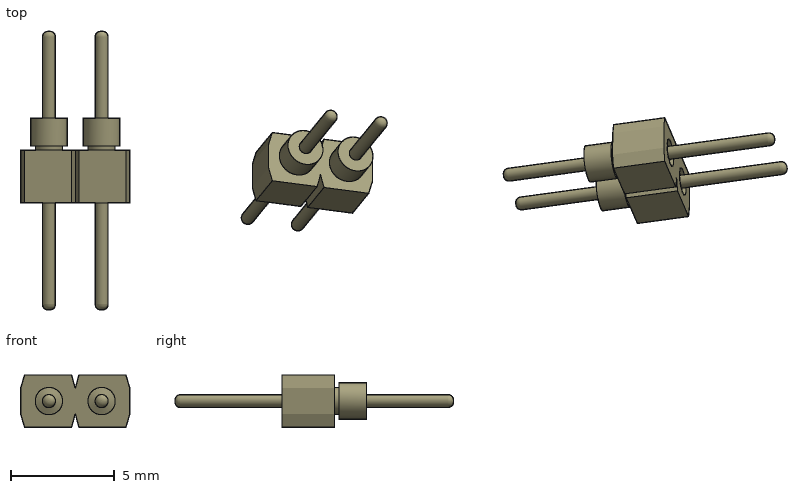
import cadquery as cq
import math

pin_count = 2
pitch = 2.55
cell_size = 2.55
housing_width = 5.28
bevel_inset = 0.19
bevel_height = 0.65
notch_half_width = 0.17
housing_front = -1.56
housing_back = housing_front + cell_size
bore_diameter = 1.32

pin_length = 13.46
wire_diameter = 0.63
collar_diameter = 1.78
collar_gap = 0.2
collar_length = 1.35
tip_length = 0.27
tip_flat_diameter = 0.1
barrel_recess = 0.2
cone_length = 0.101

pin_positions = [(i - (pin_count - 1) / 2) * pitch for i in range(pin_count)]


def make_housing():
    half_width = housing_width / 2
    half_height = cell_size / 2
    side_half_height = half_height - bevel_height
    top_half_width = half_width - bevel_inset
    upper = [
        (-half_width, side_half_height),
        (-top_half_width, half_height),
        (-notch_half_width, half_height),
        (0, side_half_height),
        (notch_half_width, half_height),
        (top_half_width, half_height),
        (half_width, side_half_height),
    ]
    lower = [(x, -z) for x, z in reversed(upper)]
    block = (
        cq.Workplane("XZ", origin=(0, housing_back, 0))
        .polyline(upper + lower)
        .close()
        .extrude(cell_size)
    )
    bores = (
        cq.Workplane("XZ", origin=(0, housing_back, 0))
        .pushPoints([(x, 0) for x in pin_positions])
        .circle(bore_diameter / 2)
        .extrude(cell_size)
    )
    return block.cut(bores)


def make_pin(x):
    wire_radius = wire_diameter / 2
    barrel_radius = bore_diameter / 2
    collar_radius = collar_diameter / 2
    flat_radius = tip_flat_diameter / 2
    front = -pin_length / 2
    back = pin_length / 2
    barrel_front = housing_front + barrel_recess
    collar_front = housing_back + collar_gap
    collar_back = collar_front + collar_length
    half_turn = math.radians(45)
    tip_mid_radius = flat_radius + (wire_radius - flat_radius) * math.sin(half_turn)
    tip_mid_setback = tip_length * (1 - math.sin(half_turn))
    profile = (
        cq.Workplane("XY")
        .moveTo(0, front)
        .lineTo(flat_radius, front)
        .threePointArc((tip_mid_radius, front + tip_mid_setback), (wire_radius, front + tip_length))
        .lineTo(wire_radius, barrel_front - cone_length)
        .lineTo(barrel_radius, barrel_front)
        .lineTo(barrel_radius, collar_front)
        .lineTo(collar_radius, collar_front)
        .lineTo(collar_radius, collar_back)
        .lineTo(wire_radius, collar_back)
        .lineTo(wire_radius, back - tip_length)
        .threePointArc((tip_mid_radius, back - tip_mid_setback), (flat_radius, back))
        .lineTo(0, back)
        .close()
    )
    return profile.revolve(360, (0, 0, 0), (0, 1, 0)).translate((x, 0, 0))


housing = make_housing()
pins = [make_pin(x) for x in pin_positions]

result = cq.Compound.makeCompound([housing.val(), *[pin.val() for pin in pins]])